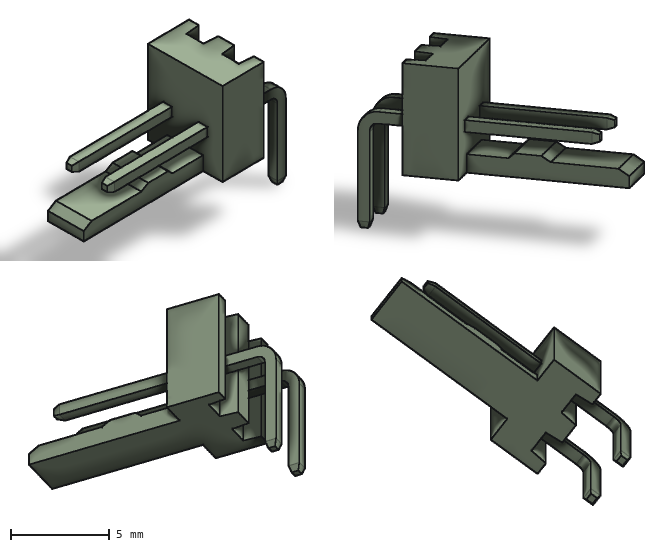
import cadquery as cq
import math


BODY_WIDTH = 5.34
BODY_DEPTH = 3.0
BODY_HEIGHT = 6.0

PITCH = 2.54
PIN_XS = (-PITCH / 2, PITCH / 2)

GROOVE_DEPTH = 1.0
GROOVE_FLOOR_WIDTH = 1.21
GROOVE_MOUTH_WIDTH = 1.38

TONGUE_WIDTH = 2.55
TONGUE_LENGTH = 8.7
TONGUE_THICKNESS = 1.0
TONGUE_TIP_THICKNESS = 0.65
TONGUE_BEVEL_LENGTH = 0.58
BUMP_HEIGHT = 1.28
BUMP_FOOT_BACK = 2.24
BUMP_TOP_BACK = 2.55
BUMP_TOP_FRONT = 4.0
BUMP_FOOT_FRONT = 4.5

PIN_SIZE = 0.63
PIN_AXIS_Z = 2.6
PIN_FRONT_REACH = 7.17
PIN_BACK_REACH = 5.72
PIN_DROP = 3.4
BEND_OUTER_RADIUS = 1.1
TIP_LENGTH = 0.39
TIP_SIZE = 0.39


def make_block():
    return cq.Workplane("XY").box(BODY_WIDTH, BODY_DEPTH, BODY_HEIGHT, centered=(True, False, False))


def make_tongue():
    """Tongue with a latch bump and a bevelled tip, projecting toward -Y."""
    profile = [
        (0, 0),
        (-TONGUE_LENGTH, 0),
        (-TONGUE_LENGTH, TONGUE_TIP_THICKNESS),
        (-TONGUE_LENGTH + TONGUE_BEVEL_LENGTH, TONGUE_THICKNESS),
        (-BUMP_FOOT_FRONT, TONGUE_THICKNESS),
        (-BUMP_TOP_FRONT, BUMP_HEIGHT),
        (-BUMP_TOP_BACK, BUMP_HEIGHT),
        (-BUMP_FOOT_BACK, TONGUE_THICKNESS),
        (0, TONGUE_THICKNESS),
    ]
    return cq.Workplane("YZ").polyline(profile).close().extrude(TONGUE_WIDTH / 2, both=True)


def make_groove(center):
    """Full-height tapered groove cutter, centered at the given X."""
    floor_y = BODY_DEPTH - GROOVE_DEPTH
    profile = [
        (center - GROOVE_FLOOR_WIDTH / 2, floor_y),
        (center + GROOVE_FLOOR_WIDTH / 2, floor_y),
        (center + GROOVE_MOUTH_WIDTH / 2, BODY_DEPTH),
        (center - GROOVE_MOUTH_WIDTH / 2, BODY_DEPTH),
    ]
    return cq.Workplane("XY").polyline(profile).close().extrude(BODY_HEIGHT)


def make_tip(plane):
    """Square taper from the full pin section, along the plane normal."""
    return (
        cq.Workplane(plane)
        .rect(PIN_SIZE, PIN_SIZE)
        .workplane(offset=TIP_LENGTH)
        .rect(TIP_SIZE, TIP_SIZE)
        .loft(ruled=True)
    )


def make_pin(x):
    """Right-angle pin: forward through the housing, then down behind it."""
    top = PIN_AXIS_Z + PIN_SIZE / 2
    bottom = PIN_AXIS_Z - PIN_SIZE / 2
    front = -PIN_FRONT_REACH + TIP_LENGTH
    foot = -PIN_DROP + TIP_LENGTH
    inner_y = PIN_BACK_REACH - PIN_SIZE
    bend_y = PIN_BACK_REACH - BEND_OUTER_RADIUS
    bend_z = top - BEND_OUTER_RADIUS
    inner_radius = BEND_OUTER_RADIUS - PIN_SIZE
    diagonal = math.sqrt(0.5)
    outer_middle = (bend_y + BEND_OUTER_RADIUS * diagonal, bend_z + BEND_OUTER_RADIUS * diagonal)
    inner_middle = (bend_y + inner_radius * diagonal, bend_z + inner_radius * diagonal)

    shank = (
        cq.Workplane("YZ")
        .moveTo(front, top)
        .lineTo(bend_y, top)
        .threePointArc(outer_middle, (PIN_BACK_REACH, bend_z))
        .lineTo(PIN_BACK_REACH, foot)
        .lineTo(inner_y, foot)
        .lineTo(inner_y, bend_z)
        .threePointArc(inner_middle, (bend_y, bottom))
        .lineTo(front, bottom)
        .close()
        .extrude(PIN_SIZE / 2, both=True)
    )
    front_plane = cq.Plane(origin=(0, front, PIN_AXIS_Z), xDir=(1, 0, 0), normal=(0, -1, 0))
    foot_plane = cq.Plane(
        origin=(0, PIN_BACK_REACH - PIN_SIZE / 2, foot), xDir=(1, 0, 0), normal=(0, 0, -1)
    )
    pin = shank.union(make_tip(front_plane)).union(make_tip(foot_plane))
    return pin.translate((x, 0, 0))


def make_housing(pins):
    """Block and tongue in one piece, with back grooves and a fitted hole for each pin."""
    housing = make_block().union(make_tongue())
    for pin_x in PIN_XS:
        housing = housing.cut(make_groove(pin_x))
    for pin in pins:
        housing = housing.cut(pin)
    return housing


pins = [make_pin(x) for x in PIN_XS]
housing = make_housing(pins)

result = cq.Compound.makeCompound([housing.val(), *[pin.val() for pin in pins]])